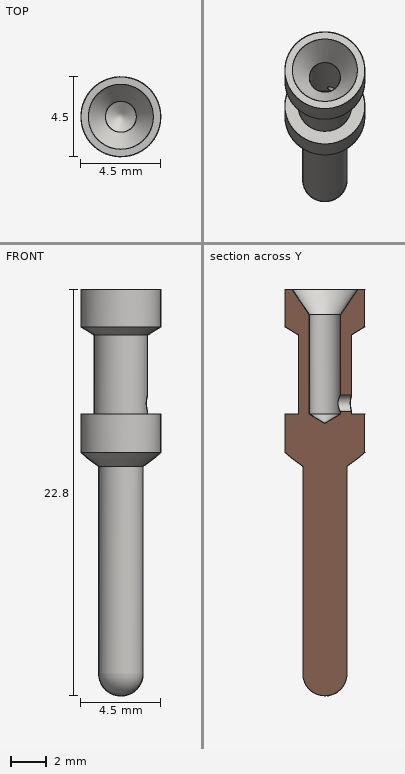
import cadquery as cq
import math

length = 22.8
collar_radius = 4.5 / 2
neck_radius = 1.5
pin_radius = 1.25

head_bottom = 20.7
head_taper_bottom = 20.25
collar_top = 15.82
collar_bottom = 13.65
collar_taper_break = 13.32
collar_taper_bottom = 12.88
taper_break_radius = 1.85

funnel_radius = 1.82
funnel_depth = 1.41
bore_radius = 0.87
bore_floor = 15.82
drill_point_angle = 118.0

inspection_radius = 0.45
inspection_height = 16.42


def make_body():
    """Revolve the stepped outline, with its hemispherical tip, about Z."""
    tip_mid = pin_radius * math.sqrt(0.5)
    outline = (
        cq.Workplane("XZ")
        .moveTo(0, 0)
        .threePointArc((tip_mid, pin_radius - tip_mid), (pin_radius, pin_radius))
        .lineTo(pin_radius, collar_taper_bottom)
        .lineTo(taper_break_radius, collar_taper_break)
        .lineTo(collar_radius, collar_bottom)
        .lineTo(collar_radius, collar_top)
        .lineTo(neck_radius, collar_top)
        .lineTo(neck_radius, head_taper_bottom)
        .lineTo(collar_radius, head_bottom)
        .lineTo(collar_radius, length)
        .lineTo(0, length)
        .close()
    )
    return outline.revolve(360, (0, 0, 0), (0, 1, 0))


def make_socket():
    """Revolve the hollow of the wire socket about Z."""
    drill_point_depth = bore_radius / math.tan(math.radians(drill_point_angle / 2))
    outline = (
        cq.Workplane("XZ")
        .moveTo(0, bore_floor - drill_point_depth)
        .lineTo(bore_radius, bore_floor)
        .lineTo(bore_radius, length - funnel_depth)
        .lineTo(funnel_radius, length)
        .lineTo(0, length)
        .close()
    )
    return outline.revolve(360, (0, 0, 0), (0, 1, 0))


def make_inspection_hole():
    """A radial drill from the axis out through the +X side only."""
    return (
        cq.Workplane("YZ")
        .center(0, inspection_height)
        .circle(inspection_radius)
        .extrude(collar_radius)
    )


result = make_body().cut(make_socket()).cut(make_inspection_hole())